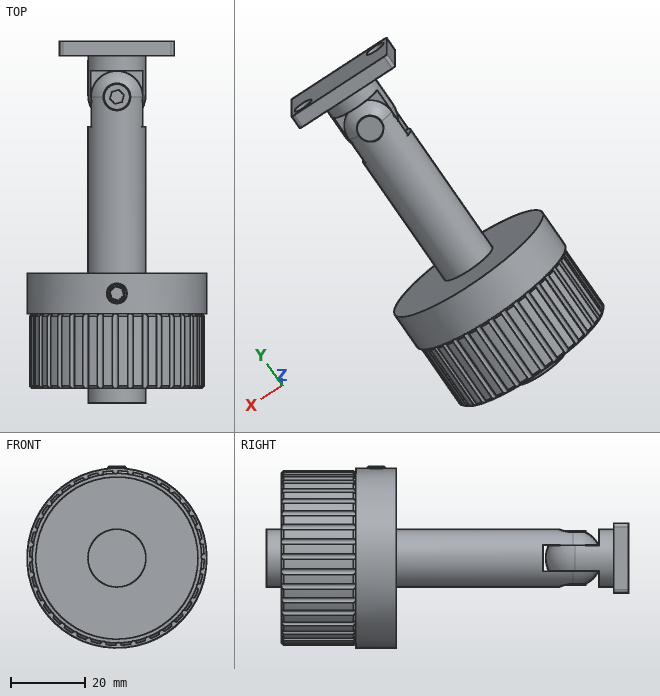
import cadquery as cq
total_length = 97.5

shaft_radius = 7.8
joint_slot_width = 7.0
tongue_thickness = 6.8
joint_slot_end = 74.5
fork_center = 82.5
tongue_center = 83.0

flange_width = 31.0
flange_height = 18.8
flange_thickness = 4.0
flange_corner_radius = 1.0
flange_neck_length = 4.0
flange_hole_radius = 2.7
flange_hole_x = 11.7
flange_hole_z = 5.3

pin_hole_radius = 3.6
pin_radius = 3.5
pin_half_length = 7.3

collar_radius = 24.23
collar_front = 24.1
collar_back = 35.0
set_screw_hole_radius = 2.7
set_screw_radius = 2.5
set_screw_chamfer = 0.5
set_screw_proud = 0.5

socket_corner_radius = 1.95
socket_depth = 1.95
pin_socket_turn = 15.0
set_screw_socket_turn = 45.0

grip_front = 4.0
grip_radius = 23.5
grip_bore_radius = 21.8
grip_chamfer = 0.7
flute_count = 36
flute_radius = 0.8
flute_phase = 1.0

flange_front = total_length - flange_thickness
neck_front = flange_front - flange_neck_length
collar_middle = (collar_front + collar_back) / 2
set_screw_top = collar_radius + set_screw_proud


def y_cylinder(radius, start, end):
    """Solid cylinder on the Y axis between two Y positions."""
    return cq.Workplane("XZ", origin=(0, start, 0)).circle(radius).extrude(start - end)


def z_cylinder(radius, center_y, bottom, top):
    """Solid cylinder parallel to Z between two heights."""
    return cq.Workplane("XY", origin=(0, center_y, bottom)).circle(radius).extrude(top - bottom)


def ball(center_y):
    """Sphere of the shaft's radius on the Y axis."""
    return cq.Workplane("XY", origin=(0, center_y, 0)).sphere(shaft_radius, direct=(0, 1, 0))


def joint_slab(thickness, start, end):
    """Slab wider than the shaft, centered on the axis, between two Y positions."""
    return cq.Workplane("XY", origin=(0, (start + end) / 2, 0)).box(3 * shaft_radius, end - start, thickness)


def hex_socket(center_y, top, turn):
    """Prism of a hexagonal recess reaching down from the given height, turned about Z."""
    return (
        cq.Workplane("XY", origin=(0, center_y, top))
        .transformed(rotate=(0, 0, turn))
        .polygon(6, 2 * socket_corner_radius)
        .extrude(-socket_depth)
    )


def make_flange():
    """Mounting plate with a round neck and a round-ended tongue."""
    plate = (
        cq.Workplane("XZ", origin=(0, total_length, 0))
        .rect(flange_width, flange_height)
        .extrude(flange_thickness)
        .edges("|Y")
        .fillet(flange_corner_radius)
        .faces("<Y")
        .workplane(origin=(0, 0, 0))
        .pushPoints([(-flange_hole_x, flange_hole_z), (flange_hole_x, -flange_hole_z)])
        .hole(2 * flange_hole_radius)
    )
    neck = y_cylinder(shaft_radius, neck_front, flange_front)
    round_bar = y_cylinder(shaft_radius, tongue_center, flange_front).union(ball(tongue_center))
    tongue = round_bar.intersect(joint_slab(tongue_thickness, tongue_center - 2 * shaft_radius, flange_front))
    pin_hole = z_cylinder(pin_hole_radius, fork_center, -pin_half_length, pin_half_length)
    return plate.union(neck).union(tongue).cut(pin_hole)


def make_shaft():
    """Round bar whose ball end is slotted into a fork and bored for the pin."""
    bar = y_cylinder(shaft_radius, 0, fork_center).union(ball(fork_center))
    slot = joint_slab(joint_slot_width, joint_slot_end, total_length)
    pin_hole = z_cylinder(pin_hole_radius, fork_center, -shaft_radius, shaft_radius)
    return bar.cut(slot).cut(pin_hole)


def make_pin():
    """Joint pin with a socket in its upper end."""
    pin = z_cylinder(pin_radius, fork_center, -pin_half_length, pin_half_length)
    return pin.cut(hex_socket(fork_center, pin_half_length, pin_socket_turn))


def make_collar():
    """Disc on the shaft with a radial hole for the set screw."""
    disc = y_cylinder(collar_radius, collar_front, collar_back)
    shaft_hole = y_cylinder(shaft_radius, collar_front, collar_back)
    screw_hole = z_cylinder(set_screw_hole_radius, collar_middle, 0, set_screw_top)
    return disc.cut(shaft_hole).cut(screw_hole)


def make_set_screw():
    """Headless screw that bears on the shaft and stands slightly proud of the collar."""
    screw = z_cylinder(set_screw_radius, collar_middle, shaft_radius, set_screw_top)
    screw = screw.faces(">Z").chamfer(set_screw_chamfer)
    return screw.cut(hex_socket(collar_middle, set_screw_top, set_screw_socket_turn))


def make_grip():
    """Thin ring against the collar, chamfered at both ends and fluted all round."""
    ring = y_cylinder(grip_radius, grip_front, collar_front).edges().chamfer(grip_chamfer)
    ring = ring.cut(y_cylinder(grip_bore_radius, grip_front, collar_front))
    flutes = (
        cq.Workplane("XZ", origin=(0, grip_front, 0))
        .polarArray(grip_radius, flute_phase, 360, flute_count)
        .circle(flute_radius)
        .extrude(grip_front - collar_front)
    )
    return ring.cut(flutes)


flange = make_flange()
shaft = make_shaft()
pin = make_pin()
collar = make_collar()
set_screw = make_set_screw()
grip = make_grip()

result = cq.Compound.makeCompound(
    [flange.val(), shaft.val(), pin.val(), collar.val(), set_screw.val(), grip.val()]
)